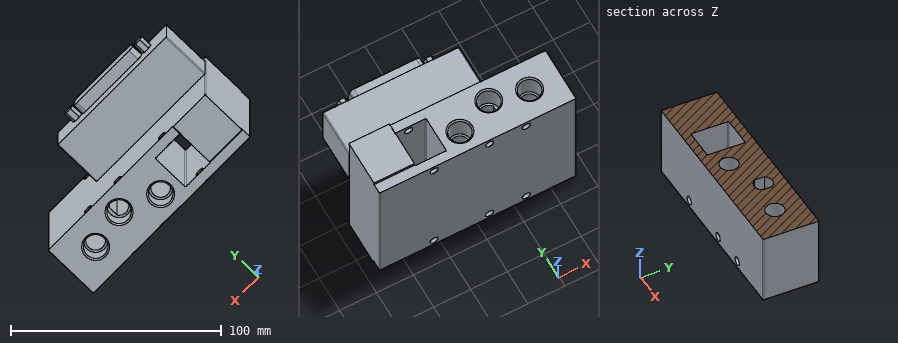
import cadquery as cq
import math

body_length = 106.7
body_depth = 30.0
body_height = 75.0
edge_radius = 0.5

plate_length = 22.0
plate_thickness = 1.5
plate_front_y = 5.3
overall_height = body_height + 2 * plate_thickness

block_length = 73.9
block_depth = 25.7
block_height = 24.8
block_drop = 8.7
block_top_z = body_height / 2 - block_drop
block_back_y = body_depth + block_depth

window_length = 17.1
window_width = 20.1
window_front_y = 4.9
window_corner_radius = 0.5

port_xy = [(49.7, 11.0), (69.8, 19.0), (89.7, 15.0)]
port_mouth_diameter = 13.2
port_bore_diameter = 11.6
port_bore_depth = 12.8
port_chamfer = (port_mouth_diameter - port_bore_diameter) / 2
passage_diameter = 9.4
flat_port_index = 1
flat_passage_width = 7.8

mount_hole_diameter = 4.4
mount_hole_x = [29.7, 59.8, 79.7]
mount_hole_inset = 3.8
mount_hole_z = body_height / 2 - mount_hole_inset

connector_depth = 6.0
connector_x = 37.0
shell_width = 40.3
shell_height = 9.7
shell_corner_radius = 2.5
shell_side_angle = 10.0
shell_drop = 3.5
shell_top_z = block_top_z - shell_drop
screw_spacing = 47.1
screw_drop = 6.3
hexagon_sides = 6
screw_across_corners = 5.8
screw_z = shell_top_z - screw_drop


def box_between(x_range, y_range, z_range):
    """Box given by its lower and upper limits along each axis."""
    sizes = [high - low for low, high in (x_range, y_range, z_range)]
    origin = (x_range[0], y_range[0], z_range[0])
    return cq.Workplane("XY", origin=origin).box(*sizes, centered=False)


def make_body():
    half_height = body_height / 2
    body = box_between((0, body_length), (0, body_depth), (-half_height, half_height))
    return body.edges("|Z").fillet(edge_radius)


def make_plates():
    """Top plate and its mirror image below; only the upright front edges are rounded."""
    top_plate = box_between(
        (0, plate_length),
        (plate_front_y, body_depth),
        (body_height / 2, overall_height / 2),
    )
    top_plate = top_plate.faces("<Y").edges("|Z").fillet(edge_radius)
    return top_plate.union(top_plate.mirror("XY"))


def make_block():
    """Rear block standing on the body's back face, across the body's rounded left edge."""
    block = box_between(
        (0, block_length),
        (body_depth, block_back_y),
        (block_top_z - block_height, block_top_z),
    )
    return block.edges("|Y").fillet(edge_radius)


def connector_plane(z):
    """Plane on the block's back face, facing +Y, centred on the connector."""
    origin = (connector_x, block_back_y, z)
    return cq.Workplane(cq.Plane(origin=origin, xDir=(-1, 0, 0), normal=(0, 1, 0)))


def make_shell():
    """Rounded trapezoid, wider at the bottom."""
    slope = math.radians(shell_side_angle)
    corner_reach = shell_corner_radius * math.tan(math.pi / 4 + slope / 2)
    bottom_half = shell_width / 2 - shell_corner_radius + corner_reach
    top_half = bottom_half - shell_height * math.tan(slope)
    outline = [(-bottom_half, -shell_height), (bottom_half, -shell_height), (top_half, 0), (-top_half, 0)]
    shell = connector_plane(shell_top_z).polyline(outline).close().extrude(connector_depth)
    return shell.edges("|Y").fillet(shell_corner_radius)


def make_screws():
    centres = [(-screw_spacing / 2, 0), (screw_spacing / 2, 0)]
    hexagons = connector_plane(screw_z).pushPoints(centres).polygon(hexagon_sides, screw_across_corners)
    return hexagons.extrude(connector_depth)


def make_window():
    half_height = body_height / 2
    window = box_between(
        (plate_length, plate_length + window_length),
        (window_front_y, window_front_y + window_width),
        (-half_height, half_height),
    )
    return window.edges("|Z").fillet(window_corner_radius)


def make_port(x, y, has_flats):
    """Cutter for one port: the passage plus a bore and countersink at both ends."""
    passage = cq.Workplane("XY").circle(passage_diameter / 2).extrude(body_height / 2, both=True)
    if has_flats:
        passage = passage.intersect(cq.Workplane("XY").box(flat_passage_width, passage_diameter, body_height))
    half_profile = [
        (0, body_height / 2),
        (port_mouth_diameter / 2, body_height / 2),
        (port_bore_diameter / 2, body_height / 2 - port_chamfer),
        (port_bore_diameter / 2, body_height / 2 - port_bore_depth),
        (0, body_height / 2 - port_bore_depth),
    ]
    top_bore = cq.Workplane("XZ").polyline(half_profile).close().revolve(360, (0, 0, 0), (0, 1, 0))
    port = passage.union(top_bore).union(top_bore.mirror("XY"))
    return port.translate((x, y, 0))


def make_mount_holes():
    centres = [(x, z) for x in mount_hole_x for z in (-mount_hole_z, mount_hole_z)]
    return cq.Workplane("XZ").pushPoints(centres).circle(mount_hole_diameter / 2).extrude(-body_depth)


result = make_body().union(make_plates()).union(make_block())
result = result.union(make_shell()).union(make_screws())
result = result.cut(make_window()).cut(make_mount_holes())
for index, (port_x, port_y) in enumerate(port_xy):
    result = result.cut(make_port(port_x, port_y, index == flat_port_index))